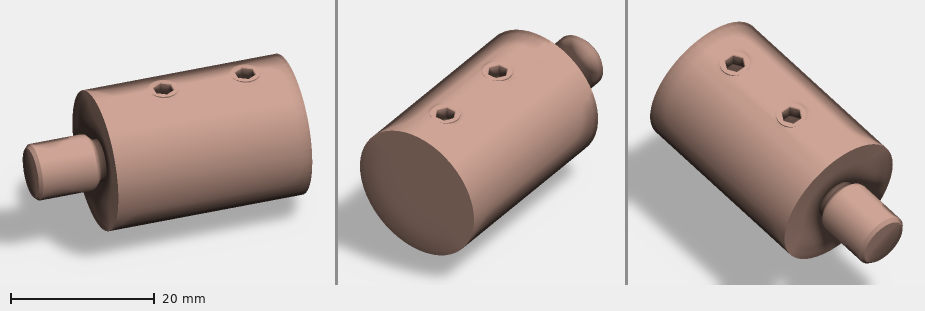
import cadquery as cq
import math

overall_length = 38.0

housing_diameter = 20.0
housing_length = 28.5
face_dish_angle = 5.0

neck_diameter = 6.0
taper_start_diameter = 7.75
stud_diameter = 8.0
taper_start = 29.45
taper_end = 30.0
tip_chamfer = 0.5

screw_diameter = 4.2
screw_length = 4.0
first_screw_position = 6.5
screw_spacing = 12.0
screw_count = 2
socket_across_flats = 2.5
socket_depth = 2.0
socket_chamfer = 0.1

housing_radius = housing_diameter / 2
screw_positions = [first_screw_position + i * screw_spacing for i in range(screw_count)]


def screw_blank(position):
    """Plain cylinder filling the screw hole, from the crown of the housing downwards."""
    return (
        cq.Workplane("XY", origin=(0, -position, housing_radius))
        .circle(screw_diameter / 2)
        .extrude(-screw_length)
    )


def make_housing():
    """Housing and stud turned as one piece, with a round hole for each set screw."""
    neck_radius = neck_diameter / 2
    taper_start_radius = taper_start_diameter / 2
    stud_radius = stud_diameter / 2
    dish_depth = (housing_radius - neck_radius) * math.tan(math.radians(face_dish_angle))
    neck_end = taper_start - (taper_start_radius - neck_radius)

    body = (
        cq.Workplane("XY")
        .lineTo(housing_radius, 0)
        .lineTo(housing_radius, -housing_length)
        .lineTo(neck_radius, -(housing_length - dish_depth))
        .lineTo(neck_radius, -neck_end)
        .lineTo(taper_start_radius, -taper_start)
        .lineTo(stud_radius, -taper_end)
        .lineTo(stud_radius, -(overall_length - tip_chamfer))
        .lineTo(stud_radius - tip_chamfer, -overall_length)
        .lineTo(0, -overall_length)
        .close()
        .revolve(360, (0, 0, 0), (0, 1, 0))
    )
    for position in screw_positions:
        body = body.cut(screw_blank(position))
    return body.solids().val()


def make_set_screw(position):
    """Set screw with a hexagon socket whose corners point along X and whose mouth is chamfered."""
    socket_corner_diameter = socket_across_flats / math.cos(math.radians(30))
    socket = (
        cq.Workplane("XY", origin=(0, -position, housing_radius))
        .polygon(6, socket_corner_diameter)
        .extrude(-socket_depth)
    )
    screw = screw_blank(position).cut(socket)
    socket_mouth = screw.faces(">Z").wires(cq.selectors.LengthNthSelector(0))
    return socket_mouth.chamfer(socket_chamfer).solids().val()


housing = make_housing()
set_screws = [make_set_screw(position) for position in screw_positions]

result = cq.Compound.makeCompound([housing, *set_screws])